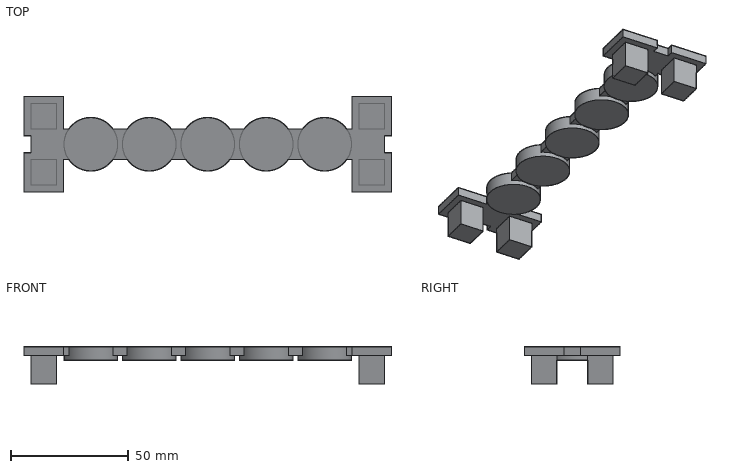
import cadquery as cq

length = 157.0
width = 41.0
height = 16.0

plate_thickness = 4.0
plate_length = 17.0
notch_width = 7.0

post_side = 11.0
post_margin = (plate_length - post_side) / 2
post_x = (length - plate_length) / 2
post_y = width / 2 - post_margin - post_side / 2

strip_width = 2 * post_y - post_side
notch_depth = post_margin

disc_count = 5
disc_diameter = 23.0
disc_height = 6.0
disc_pitch = 25.0


def hanging_box(size_x, size_y, size_z, x=0, y=0):
    """Box whose upper face lies on Z = 0, centred at (x, y)."""
    return (
        cq.Workplane("XY")
        .box(size_x, size_y, size_z, centered=(True, True, False))
        .translate((x, y, -size_z))
    )


def make_body():
    """Strip and notched end plates, with all upper faces flush."""
    body = hanging_box(length - plate_length, strip_width, plate_thickness)
    for side in (-1, 1):
        plate = hanging_box(plate_length, width, plate_thickness, x=side * post_x)
        notch = hanging_box(2 * notch_depth, notch_width, plate_thickness, x=side * length / 2)
        body = body.union(plate.cut(notch))
    return body.clean()


def make_discs():
    """Evenly spaced discs, centred on the strip and flush with its upper face."""
    first_x = -(disc_count - 1) * disc_pitch / 2
    centers = [(first_x + i * disc_pitch, 0) for i in range(disc_count)]
    return cq.Workplane("XY").pushPoints(centers).circle(disc_diameter / 2).extrude(-disc_height)


discs = make_discs()
result = make_body().cut(discs).union(discs, clean=False)

for x in (-post_x, post_x):
    for y in (-post_y, post_y):
        post = hanging_box(post_side, post_side, height, x=x, y=y)
        result = result.union(post, clean=False)